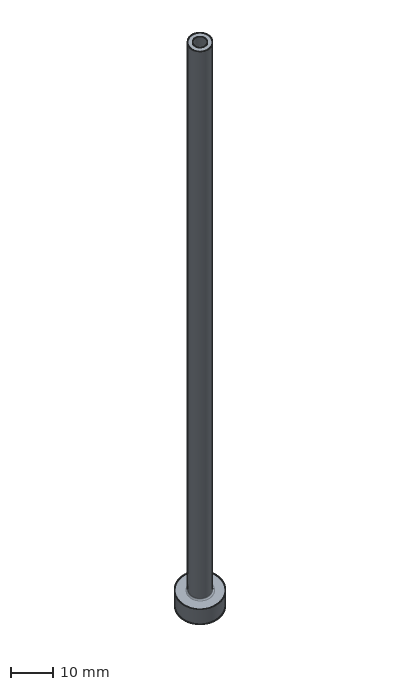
import cadquery as cq

total_length = 205.0
head_diameter = 12.0
head_height = 5.5
tube_diameter = 6.0
bore_diameter = 3.5
root_fillet = 0.5

head_radius = head_diameter / 2
tube_radius = tube_diameter / 2
bore_radius = bore_diameter / 2

half_section = (
    cq.Workplane("XZ")
    .moveTo(bore_radius, 0)
    .lineTo(head_radius, 0)
    .lineTo(head_radius, head_height)
    .lineTo(tube_radius + root_fillet, head_height)
    .radiusArc((tube_radius, head_height + root_fillet), root_fillet)
    .lineTo(tube_radius, total_length)
    .lineTo(bore_radius, total_length)
    .close()
)

result = half_section.revolve(360, (0, 0, 0), (0, 1, 0))